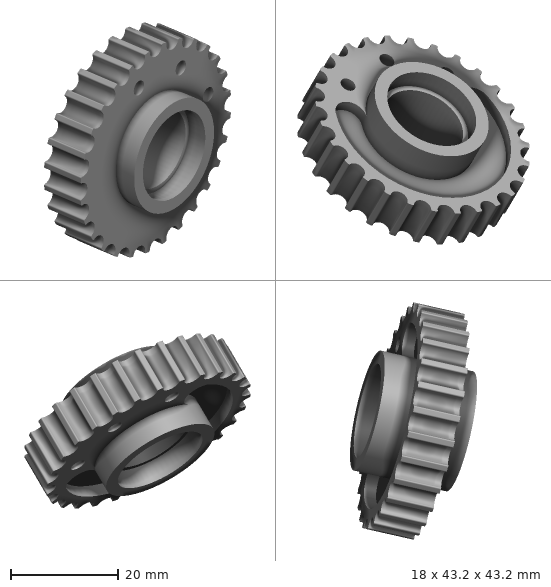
import cadquery as cq
import math

tooth_count = 28
rim_width = 9.0
tip_radius = 21.7
groove_radius = 1.75
groove_center_radius = 21.45
tip_fillet = 0.25

hub_length = 2 * rim_width
hub_diameter = 23.0
bore_diameter = 16.0
seat_diameter = 18.0
seat_depth = 4.0

mirror_angle = 117.1
hole_diameter = 3.0
hole_circle_radius = 15.82
hole_step_angle = 45.0
pocket_outer_radius = 17.85
pocket_end_offset = 73.6
pocket_depth = 2.38

rim_face_x = -rim_width / 2
hub_face_x = -hub_length / 2


def polar(radius, angle):
    """Point in the YZ plane at an angle in degrees from -Y towards +Z."""
    turn = math.radians(angle)
    return (-radius * math.cos(turn), radius * math.sin(turn))


def plane_at(x):
    """Workplane at x, with local axes along Y and Z and extruding along +X."""
    return cq.Workplane("YZ", origin=(x, 0, 0))


def toothed_rim():
    """Disc with round grooves and softened tooth tips."""
    disc = plane_at(rim_face_x).circle(tip_radius).extrude(rim_width)
    groove_centers = [
        polar(groove_center_radius, 90 + index * 360 / tooth_count)
        for index in range(tooth_count)
    ]
    grooves = (
        plane_at(rim_face_x)
        .pushPoints(groove_centers)
        .circle(groove_radius)
        .extrude(rim_width)
    )
    toothed = disc.cut(grooves)
    return toothed.edges("|X").fillet(tip_fillet)


def curved_pocket():
    """Cutter for the C-shaped pocket that wraps the hub and ends in half circles."""
    inner_radius = hub_diameter / 2
    start = mirror_angle + pocket_end_offset
    end = mirror_angle + 360 - pocket_end_offset
    opposite = mirror_angle + 180
    return (
        plane_at(rim_face_x)
        .moveTo(*polar(pocket_outer_radius, start))
        .threePointArc(polar(pocket_outer_radius, opposite), polar(pocket_outer_radius, end))
        .tangentArcPoint(polar(inner_radius, end), relative=False)
        .threePointArc(polar(inner_radius, opposite), polar(inner_radius, start))
        .tangentArcPoint(polar(pocket_outer_radius, start), relative=False)
        .close()
        .extrude(pocket_depth)
    )


def disc_holes():
    """Cutters for the three round holes through the rim disc."""
    centers = [
        polar(hole_circle_radius, mirror_angle + step * hole_step_angle)
        for step in (-1, 0, 1)
    ]
    return (
        plane_at(rim_face_x)
        .pushPoints(centers)
        .circle(hole_diameter / 2)
        .extrude(rim_width)
    )


def stepped_bore():
    """Cutter for the through bore and the wider seat at each hub end."""
    bore = plane_at(hub_face_x).circle(bore_diameter / 2).extrude(hub_length)
    seat = plane_at(hub_face_x).circle(seat_diameter / 2).extrude(seat_depth)
    return bore.union(seat).union(seat.mirror("YZ"))


hub = plane_at(hub_face_x).circle(hub_diameter / 2).extrude(hub_length)
result = (
    toothed_rim()
    .cut(disc_holes())
    .cut(curved_pocket())
    .union(hub)
    .cut(stepped_bore())
)